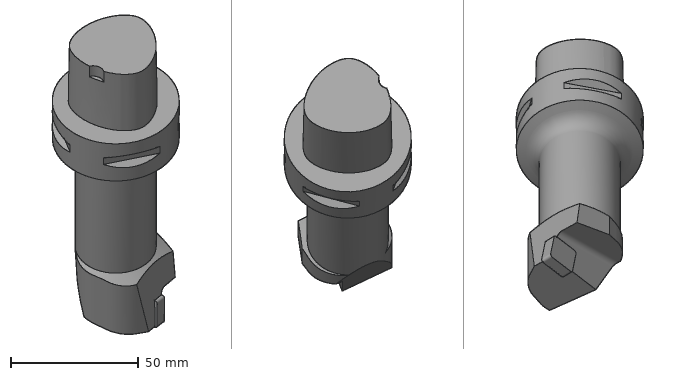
import cadquery as cq
import math

COUPLING_HEIGHT = 30.0
COUPLING_BASE_RADIUS = 17.5
COUPLING_TOP_RADIUS = 17.1
LOBE_HEIGHT = 1.19
LOBE_HALF_ANGLE = 36
LOBE_ANGLES = (90, 210, 330)
POINTS_PER_FACE = 7
KEY_RADIUS = 4.3
KEY_HEIGHT = 5.6
KEY_DEEPEST = 14.3

FLANGE_RADIUS = 50.0 / 2
FLANGE_HEIGHT = 20.0
GROOVE_FLOOR = 22.1
GROOVE_FLOOR_WIDTH = 3.5
GROOVE_FLANK_ANGLE = 30
GROOVE_Z = -9.8

SHANK_RADIUS = 16.0
NECK_HEIGHT = 8.0
NECK_FILLET = 7.0
NECK_CONE_ANGLE = 17.5
SHANK_END_Z = -78.1

SHOULDER_SLOPE = 0.64
SHOULDER_REACH = 16.8
HEAD_FRONT_Y = -18.0
HEAD_BACK_Y = 17.2
HEAD_FLAT_START = 0.3
HEAD_FLAT_END = 5.7
FRONT_CORNER_RADIUS = 13.6
FRONT_LEFT_SWEEP = 56
FRONT_RIGHT_SWEEP = 51.5
BACK_ARC_RADIUS = 15.7
LEFT_FACET_LENGTH = 3.6
BACK_WALL_END_X = 20.2
BACK_WALL_END_Y = 11.5
HEAD_SIDE_X = 28.0
HEAD_DEPTH = 42.0

BEVEL_POINT = (-SHANK_RADIUS, 0, -73.6)
BEVEL_NORMAL = (-1, 0, -0.35)
END_POINT = (-5.3, HEAD_FRONT_Y, -104.7)
END_NORMAL = (-0.12, -0.09, -1)
FLANK_POINT = (16.4, -12.9, -81.0)
FLANK_NORMAL = (1, -0.11, 0.1)
TRIM_SIZE = 112.0

TIP = (21.8, -0.1, -110.2)
RAKE_NORMAL = (0.175, 1, -0.113)
INSERT_EDGE = 12.9
INSERT_THICKNESS = 4.8
INSERT_NOSE_RADIUS = 1.1
INSERT_SIDE_ANGLE = 93
INSERT_END_ANGLE = 173

POCKET_ROOF_POINT = (-12.0, 11.2, -85.3)
POCKET_ROOF_SLOPE = 0.31
POCKET_FILLET = 2.1


def polar(radius, degrees, center=(0, 0)):
    angle = math.radians(degrees)
    return (center[0] + radius * math.cos(angle), center[1] + radius * math.sin(angle))


def plane_with_x(origin, normal, x_hint):
    """Plane whose X direction is x_hint projected onto it."""
    unit = cq.Vector(*normal).normalized()
    hint = cq.Vector(*x_hint)
    return cq.Plane(origin=origin, xDir=hint - unit * hint.dot(unit), normal=unit)


def polygon_point(radius, degrees):
    """Point of the three-lobed coupling curve, with a lobe at 90 degrees."""
    t = math.radians(degrees + 90)
    x = radius * math.cos(t) - 2 * LOBE_HEIGHT * math.cos(2 * t) + LOBE_HEIGHT * math.cos(4 * t)
    y = radius * math.sin(t) + 2 * LOBE_HEIGHT * math.sin(2 * t) + LOBE_HEIGHT * math.sin(4 * t)
    return (y, -x)


def polygon_wire(radius, z):
    """Closed curve made of three lobes and three flanks."""
    edges = []
    for lobe in LOBE_ANGLES:
        bounds = (lobe - LOBE_HALF_ANGLE, lobe + LOBE_HALF_ANGLE, lobe + 120 - LOBE_HALF_ANGLE)
        for start, end in zip(bounds, bounds[1:]):
            step = (end - start) / (POINTS_PER_FACE - 1)
            angles = [start + step * i for i in range(POINTS_PER_FACE)]
            points = [cq.Vector(*polygon_point(radius, angle), z) for angle in angles]
            edges.append(cq.Edge.makeSpline(points))
    return cq.Wire.assembleEdges(edges)


def make_coupling():
    wires = [polygon_wire(COUPLING_BASE_RADIUS, 0), polygon_wire(COUPLING_TOP_RADIUS, COUPLING_HEIGHT)]
    coupling = cq.Workplane(obj=cq.Solid.makeLoft(wires, True))
    key_slot = (
        cq.Workplane("XY", origin=(0, -KEY_DEEPEST - KEY_RADIUS, COUPLING_HEIGHT - KEY_HEIGHT))
        .circle(KEY_RADIUS)
        .extrude(KEY_HEIGHT)
    )
    return coupling.cut(key_slot)


def make_flange_and_shank():
    neck_bottom = -FLANGE_HEIGHT - NECK_HEIGHT
    fillet_center = (SHANK_RADIUS + NECK_FILLET, neck_bottom)
    cone_end_angle = 90 + NECK_CONE_ANGLE
    return (
        cq.Workplane("XZ")
        .lineTo(FLANGE_RADIUS, 0)
        .lineTo(FLANGE_RADIUS, -FLANGE_HEIGHT)
        .lineTo(*polar(NECK_FILLET, cone_end_angle, fillet_center))
        .threePointArc(
            polar(NECK_FILLET, (cone_end_angle + 180) / 2, fillet_center),
            (SHANK_RADIUS, neck_bottom),
        )
        .lineTo(SHANK_RADIUS, SHANK_END_Z)
        .lineTo(0, SHANK_END_Z)
        .close()
        .revolve(360, (0, 0), (0, 1))
    )


def make_gripper_grooves():
    """Four trapezoidal grooves, cut straight across the flange rim."""
    depth = FLANGE_RADIUS - GROOVE_FLOOR
    floor_half = GROOVE_FLOOR_WIDTH / 2
    mouth_half = floor_half + depth * math.tan(math.radians(GROOVE_FLANK_ANGLE))
    groove = (
        cq.Workplane("XZ", origin=(0, 0, GROOVE_Z))
        .moveTo(GROOVE_FLOOR, -floor_half)
        .lineTo(FLANGE_RADIUS, -mouth_half)
        .lineTo(FLANGE_RADIUS, mouth_half)
        .lineTo(GROOVE_FLOOR, floor_half)
        .close()
        .extrude(FLANGE_RADIUS, both=True)
    )
    return [groove.rotate((0, 0, 0), (0, 0, 1), angle) for angle in (45, 135, 225, 315)]


def make_head_blank():
    """Prism of the head outline, its top trimmed to a cone around the shank."""
    front_center_y = HEAD_FRONT_Y + FRONT_CORNER_RADIUS
    left_center = (HEAD_FLAT_START, front_center_y)
    right_center = (HEAD_FLAT_END, front_center_y)
    back_center = (HEAD_FLAT_START, HEAD_BACK_Y - BACK_ARC_RADIUS)
    left_end = 270 - FRONT_LEFT_SWEEP
    facet_start = polar(FRONT_CORNER_RADIUS, left_end, left_center)
    facet_end = polar(LEFT_FACET_LENGTH, left_end - 90, facet_start)
    right_end = 270 + FRONT_RIGHT_SWEEP
    right_x, right_y = polar(FRONT_CORNER_RADIUS, right_end, right_center)
    side_y = right_y + (HEAD_SIDE_X - right_x) * math.tan(math.radians(FRONT_RIGHT_SWEEP))
    back_slope = (BACK_WALL_END_Y - HEAD_BACK_Y) / (BACK_WALL_END_X - HEAD_FLAT_END)
    back_side_y = HEAD_BACK_Y + back_slope * (HEAD_SIDE_X - HEAD_FLAT_END)
    prism = (
        cq.Workplane("XY", origin=(0, 0, SHANK_END_Z))
        .moveTo(HEAD_FLAT_START, HEAD_FRONT_Y)
        .lineTo(HEAD_FLAT_END, HEAD_FRONT_Y)
        .threePointArc(
            polar(FRONT_CORNER_RADIUS, (270 + right_end) / 2, right_center),
            (right_x, right_y),
        )
        .lineTo(HEAD_SIDE_X, side_y)
        .lineTo(HEAD_SIDE_X, back_side_y)
        .lineTo(HEAD_FLAT_END, HEAD_BACK_Y)
        .lineTo(HEAD_FLAT_START, HEAD_BACK_Y)
        .threePointArc(
            polar(BACK_ARC_RADIUS, 135, back_center),
            polar(BACK_ARC_RADIUS, 180, back_center),
        )
        .lineTo(*facet_end)
        .lineTo(*facet_start)
        .threePointArc(
            polar(FRONT_CORNER_RADIUS, (270 + left_end) / 2, left_center),
            (HEAD_FLAT_START, HEAD_FRONT_Y),
        )
        .close()
        .extrude(-HEAD_DEPTH)
    )
    envelope_radius = SHANK_RADIUS + SHOULDER_REACH
    envelope = (
        cq.Workplane("XZ", origin=(0, 0, SHANK_END_Z))
        .lineTo(SHANK_RADIUS, 0)
        .lineTo(envelope_radius, -SHOULDER_REACH * SHOULDER_SLOPE)
        .lineTo(envelope_radius, -HEAD_DEPTH)
        .lineTo(0, -HEAD_DEPTH)
        .close()
        .revolve(360, (0, 0), (0, 1))
    )
    core = cq.Workplane("XY", origin=(0, 0, SHANK_END_Z)).circle(SHANK_RADIUS).extrude(-HEAD_DEPTH)
    return prism.intersect(envelope).union(core)


def outer_side(point, normal, x_hint):
    """Large block covering the outer side of a trimming plane."""
    return (
        cq.Workplane(plane_with_x(point, normal, x_hint))
        .rect(TRIM_SIZE, TRIM_SIZE)
        .extrude(TRIM_SIZE)
    )


def make_chip_pocket():
    """Block resting on the rake face, with a rounded corner under its roof."""
    unit = cq.Vector(*RAKE_NORMAL).normalized()
    roof_point = cq.Vector(*POCKET_ROOF_POINT)
    corner = roof_point - unit * (roof_point - cq.Vector(*TIP)).dot(unit)
    plane = plane_with_x(corner.toTuple(), RAKE_NORMAL, (1, 0, -POCKET_ROOF_SLOPE))
    return (
        cq.Workplane(plane)
        .box(TRIM_SIZE, TRIM_SIZE, TRIM_SIZE, centered=(True, False, False))
        .edges(cq.selectors.NearestToPointSelector(corner.toTuple()))
        .fillet(POCKET_FILLET)
    )


def make_insert():
    inward = tuple(-component for component in RAKE_NORMAL)
    side_end = polar(INSERT_EDGE, INSERT_SIDE_ANGLE)
    end_end = polar(INSERT_EDGE, INSERT_END_ANGLE)
    far_corner = (side_end[0] + end_end[0], side_end[1] + end_end[1])
    return (
        cq.Workplane(plane_with_x(TIP, inward, (1, 0, 0)))
        .polyline([(0, 0), side_end, far_corner, end_end])
        .close()
        .extrude(INSERT_THICKNESS)
        .edges(cq.selectors.ParallelDirSelector(cq.Vector(*RAKE_NORMAL)))
        .fillet(INSERT_NOSE_RADIUS)
    )


def make_holder(insert):
    holder = make_flange_and_shank().union(make_head_blank())
    holder = holder.cut(outer_side(BEVEL_POINT, BEVEL_NORMAL, (0, 1, 0)))
    holder = holder.cut(outer_side(END_POINT, END_NORMAL, (1, 0, 0)))
    flank_cut = outer_side(FLANK_POINT, FLANK_NORMAL, (0, 1, 0)).intersect(
        cq.Workplane("XY", origin=(0, 0, SHANK_END_Z)).rect(TRIM_SIZE, TRIM_SIZE).extrude(-TRIM_SIZE)
    )
    holder = holder.cut(flank_cut)
    holder = holder.cut(make_chip_pocket())
    for groove in make_gripper_grooves():
        holder = holder.cut(groove)
    return holder.union(make_coupling()).cut(insert)


insert = make_insert()
holder = make_holder(insert)

result = cq.Compound.makeCompound([holder.solids().val(), insert.val()])